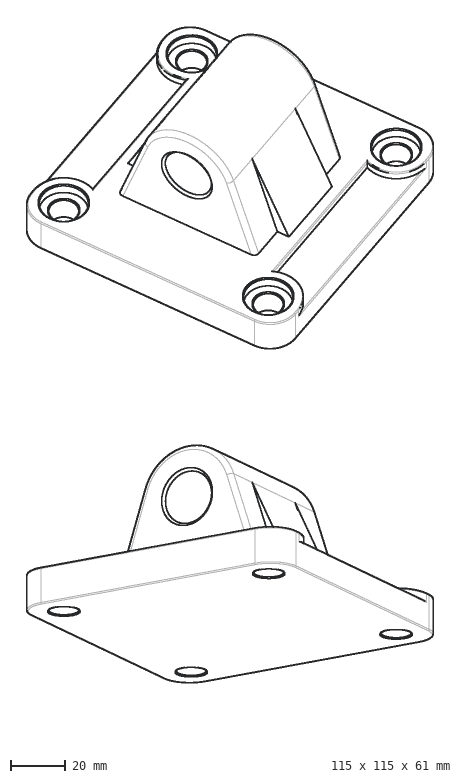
import cadquery as cq
import math

plate_side = 115.0
plate_thickness = 14.0
plate_corner_radius = 11.0
edge_break = 0.5

hole_offset = 44.5
hole_diameter = 11.0
counterbore_diameter = 18.0
counterbore_depth = 4.0

step_depth = 3.2
step_inner_x = 39.3
pad_radius = plate_side / 2 - hole_offset

overall_height = 61.0
crown_radius = 20.0
lug_base_width = 60.0
lug_length = 60.0
lug_edge_fillet = 2.0

bore_diameter = 20.0
bore_chamfer = 1.0

rib_base_width = 70.0
rib_length = 30.0

crown_z = overall_height - crown_radius
hole_centers = [(sx * hole_offset, sy * hole_offset) for sx in (-1, 1) for sy in (-1, 1)]


def crown_tangent_point():
    """Point (x, z) where the right flank of the lug runs tangentially into the crown."""
    foot_x = lug_base_width / 2
    drop = crown_z - plate_thickness
    foot_direction = math.atan2(-drop, foot_x)
    contact_angle = foot_direction + math.acos(crown_radius / math.hypot(foot_x, drop))
    return crown_radius * math.cos(contact_angle), crown_z + crown_radius * math.sin(contact_angle)


def crowned_block(base_width, length):
    """Block with a rounded crown, the given width at the plate and centred along Y."""
    tangent_x, tangent_z = crown_tangent_point()
    return (
        cq.Workplane("XZ")
        .moveTo(-base_width / 2, plate_thickness)
        .lineTo(base_width / 2, plate_thickness)
        .lineTo(tangent_x, tangent_z)
        .threePointArc((0, overall_height), (-tangent_x, tangent_z))
        .close()
        .extrude(length / 2, both=True)
    )


def make_plate():
    """Rounded square plate with both side steps, all outer edges slightly rounded."""
    floor_z = plate_thickness - step_depth
    plate = (
        cq.Workplane("XY")
        .rect(plate_side, plate_side)
        .extrude(plate_thickness)
        .edges("|Z")
        .fillet(plate_corner_radius)
    )
    outer_x = plate_side / 2
    right_step = (
        cq.Workplane("XZ")
        .moveTo(step_inner_x, floor_z)
        .lineTo(outer_x - edge_break, floor_z)
        .radiusArc((outer_x, floor_z - edge_break), edge_break)
        .lineTo(outer_x, plate_thickness)
        .lineTo(step_inner_x, plate_thickness)
        .close()
        .extrude(hole_offset, both=True)
    )
    steps = right_step.union(right_step.mirror("YZ"))
    pads = (
        cq.Workplane("XY")
        .pushPoints(hole_centers)
        .circle(pad_radius)
        .extrude(plate_thickness)
    )
    plate = plate.cut(steps.cut(pads))
    plate = plate.faces("<Z").edges().fillet(edge_break)
    plate = plate.faces(">Z").edges().fillet(edge_break)
    return plate


def make_lug():
    """Lug with rounded end edges and the two flared ribs."""
    lug = crowned_block(lug_base_width, lug_length)
    lug = lug.faces("<Y or >Y").edges("not |X").fillet(lug_edge_fillet)
    return lug.union(crowned_block(rib_base_width, rib_length))


def chamfered_bore(diameter, length, chamfer):
    """Cutter along Z from the origin whose two ends flare out by the chamfer."""
    radius = diameter / 2
    return (
        cq.Workplane("XZ")
        .polyline([
            (0, 0),
            (radius + chamfer, 0),
            (radius, chamfer),
            (radius, length - chamfer),
            (radius + chamfer, length),
            (0, length),
        ])
        .close()
        .revolve(360, (0, 0), (0, 1))
    )


def chamfered_counterbore():
    """Flat-bottomed cutter that opens at the plate top with a chamfered rim."""
    radius = counterbore_diameter / 2
    floor_z = plate_thickness - counterbore_depth
    return (
        cq.Workplane("XZ")
        .polyline([
            (0, floor_z),
            (radius, floor_z),
            (radius, plate_thickness - edge_break),
            (radius + edge_break, plate_thickness),
            (0, plate_thickness),
        ])
        .close()
        .revolve(360, (0, 0), (0, 1))
    )


result = make_plate().union(make_lug())

mounting_hole = chamfered_bore(hole_diameter, plate_thickness - counterbore_depth, edge_break)
mounting_hole = mounting_hole.union(chamfered_counterbore())
for x, y in hole_centers:
    result = result.cut(mounting_hole.translate((x, y, 0)))

cross_bore = (
    chamfered_bore(bore_diameter, lug_length, bore_chamfer)
    .rotate((0, 0, 0), (1, 0, 0), 90)
    .translate((0, lug_length / 2, crown_z))
)
result = result.cut(cross_bore)